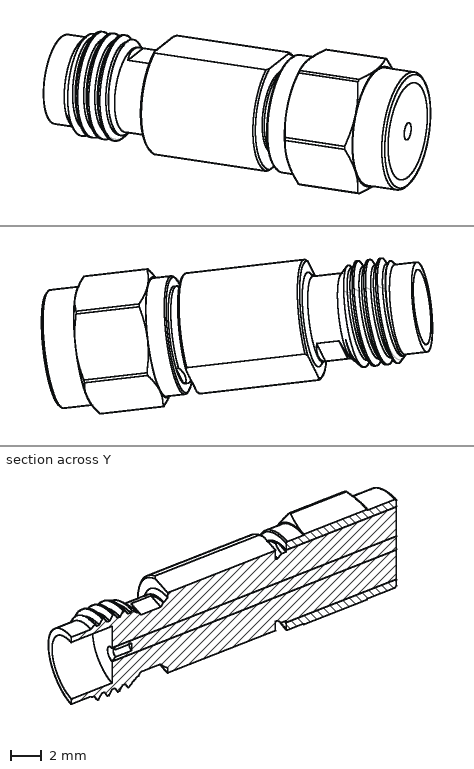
import cadquery as cq
import math


LENGTH = 24.5
MOUTH_RADIUS = 2.95
BORE_RADIUS = 2.45
BORE_DEPTH = 3.06

THREAD_START = 1.47
THREAD_PITCH = 0.78
THREAD_RADIUS = 3.45
THREAD_ROOT_RADIUS = 3.05
CREST_WIDTH = 0.12
FLANK_HALF_ANGLE = 30.0
GROOVE_TURNS = 5
CREST_POSITION = 2.2

NECK_START = 4.97
NECK_END = 6.95
NECK_RADIUS = 2.8
NECK_FLAT_HEIGHT = 2.5
NECK_FLAT_START = 5.25
NECK_FLAT_END = 6.74
NECK_FLAT_RAMP = 0.6

BARREL_START = 7.25
BARREL_END = 15.39
BARREL_RADIUS = 3.95
BARREL_FLAT_HEIGHT = 3.5
BARREL_CHAMFER = 0.12

GROOVE_RADIUS = 2.72
COLLAR_CONE_START = 15.53
COLLAR_RADIUS = 3.18
COLLAR_FLAT_HEIGHT = 3.01

NUT_START = 16.17
NUT_RING_RADIUS = 3.87
NUT_BACK_CHAMFER = 0.1
NUT_FRONT_CHAMFER = 0.15
HEX_START = 17.5
HEX_END = 22.3
HEX_ACROSS_FLATS = 7.9
HEX_ACROSS_CORNERS = 9.0
HEX_CHAMFER_LENGTH = 0.3
HEX_TURN = 30.0

CONTACT_RADIUS = 0.56
CONTACT_HOLE_RADIUS = 0.3
CONTACT_HOLE_DEPTH = 1.47


def revolved(profile):
    """Solid of revolution about X from (x, radius) points, closed along the axis."""
    outline = [(x, -radius) for x, radius in profile]
    points = [(profile[0][0], 0), *outline, (profile[-1][0], 0)]
    return cq.Workplane("XY").polyline(points).close().revolve(360, (0, 0), (1, 0))


def cylinder(start, end, radius):
    return revolved([(start, radius), (end, radius)])


def cut_flats(body, start, end, height, ramp):
    """Cut flats at z = +height and -height; each end spreads by ramp per unit of height."""
    top = 2 * BARREL_RADIUS
    spread = ramp * (top - height)
    cutter = (
        cq.Workplane("XZ")
        .polyline([(start, height), (end, height), (end + spread, top), (start - spread, top)])
        .close()
        .extrude(BARREL_RADIUS, both=True)
    )
    return body.cut(cutter).cut(cutter.mirror("XY"))


def groove_turn(start):
    """One turn of the thread groove: a helical trapezoid whose mid-line leaves +Y at x = start."""
    clearance = 0.05
    flank_slope = math.tan(math.radians(FLANK_HALF_ANGLE))
    mouth_half = (THREAD_PITCH - CREST_WIDTH) / 2
    outer_half = mouth_half + clearance * flank_slope
    root_half = mouth_half - (THREAD_RADIUS - THREAD_ROOT_RADIUS) * flank_slope
    outer_radius = THREAD_RADIUS + clearance
    corners = [
        (THREAD_ROOT_RADIUS, -root_half),
        (outer_radius, -outer_half),
        (outer_radius, outer_half),
        (THREAD_ROOT_RADIUS, root_half),
    ]
    helices = [
        cq.Wire.makeHelix(THREAD_PITCH, THREAD_PITCH, radius, center=(0, 0, offset))
        for radius, offset in corners
    ]
    next_helices = helices[1:] + helices[:1]
    faces = [cq.Face.makeRuledSurface(first, second) for first, second in zip(helices, next_helices)]
    for turn in (0, 1):
        loop = [cq.Vector(radius, 0, offset + turn * THREAD_PITCH) for radius, offset in corners]
        faces.append(cq.Face.makeFromWires(cq.Wire.makePolygon(loop, close=True)))
    turn_solid = cq.Solid.makeSolid(cq.Shell.makeShell(faces))
    return (
        cq.Workplane(obj=turn_solid)
        .rotate((0, 0, 0), (1, 1, 1), 120)
        .translate((start, 0, 0))
    )


def make_jack():
    """Mouth, thread and neck, with the milled neck flats."""
    lead_in = THREAD_RADIUS - MOUTH_RADIUS
    run_out = THREAD_RADIUS - NECK_RADIUS
    shoulder = BARREL_START - NECK_END
    jack = revolved([
        (0, MOUTH_RADIUS),
        (THREAD_START, MOUTH_RADIUS),
        (THREAD_START + lead_in, THREAD_RADIUS),
        (NECK_START - run_out, THREAD_RADIUS),
        (NECK_START, NECK_RADIUS),
        (NECK_END, NECK_RADIUS),
        (BARREL_START, NECK_RADIUS + shoulder),
    ])
    first_groove = CREST_POSITION - 1.5 * THREAD_PITCH
    for turn in range(GROOVE_TURNS):
        jack = jack.cut(groove_turn(first_groove + turn * THREAD_PITCH))
    return cut_flats(jack, NECK_FLAT_START, NECK_FLAT_END, NECK_FLAT_HEIGHT, NECK_FLAT_RAMP)


def make_barrel():
    barrel = cylinder(BARREL_START, BARREL_END, BARREL_RADIUS).edges("%CIRCLE").chamfer(BARREL_CHAMFER)
    return cut_flats(barrel, BARREL_START, BARREL_END, BARREL_FLAT_HEIGHT, 0)


def make_collar():
    """Relief groove, cone and shank that fills the nut."""
    cone_end = COLLAR_CONE_START + COLLAR_RADIUS - GROOVE_RADIUS
    collar = revolved([
        (BARREL_END, GROOVE_RADIUS),
        (COLLAR_CONE_START, GROOVE_RADIUS),
        (cone_end, COLLAR_RADIUS),
        (LENGTH, COLLAR_RADIUS),
    ])
    return cut_flats(collar, BARREL_END, NUT_START, COLLAR_FLAT_HEIGHT, 0)


def make_housing():
    housing = make_jack().union(make_barrel()).union(make_collar())
    housing = housing.cut(cylinder(0, BORE_DEPTH, BORE_RADIUS))
    return housing.cut(cylinder(BORE_DEPTH, LENGTH, CONTACT_RADIUS))


def make_nut():
    """Coupling nut: a round ring with a chamfered hexagon around it."""
    ring = revolved([
        (NUT_START, NUT_RING_RADIUS - NUT_BACK_CHAMFER),
        (NUT_START + NUT_BACK_CHAMFER, NUT_RING_RADIUS),
        (LENGTH - NUT_FRONT_CHAMFER, NUT_RING_RADIUS),
        (LENGTH, NUT_RING_RADIUS - NUT_FRONT_CHAMFER),
    ])
    hexagon = (
        cq.Workplane("YZ", origin=(HEX_START, 0, 0))
        .polygon(6, HEX_ACROSS_FLATS, circumscribed=True)
        .extrude(HEX_END - HEX_START)
        .rotate((0, 0, 0), (1, 0, 0), HEX_TURN)
    )
    flat_radius = HEX_ACROSS_FLATS / 2
    corner_radius = HEX_ACROSS_CORNERS / 2
    hex_envelope = revolved([
        (HEX_START, flat_radius),
        (HEX_START + HEX_CHAMFER_LENGTH, corner_radius),
        (HEX_END - HEX_CHAMFER_LENGTH, corner_radius),
        (HEX_END, flat_radius),
    ])
    nut = ring.union(hexagon.intersect(hex_envelope))
    return nut.cut(cylinder(NUT_START, LENGTH, COLLAR_RADIUS))


def make_contact():
    """Rod through the housing, with a blind socket and a conical mouth as wide as the rod."""
    rod = cylinder(BORE_DEPTH, LENGTH, CONTACT_RADIUS)
    mouth_depth = CONTACT_RADIUS - CONTACT_HOLE_RADIUS
    socket = revolved([
        (BORE_DEPTH, CONTACT_RADIUS),
        (BORE_DEPTH + mouth_depth, CONTACT_HOLE_RADIUS),
        (BORE_DEPTH + CONTACT_HOLE_DEPTH, CONTACT_HOLE_RADIUS),
    ])
    return rod.cut(socket)


housing = make_housing()
nut = make_nut()
contact = make_contact()

result = cq.Compound.makeCompound([housing.val(), nut.val(), contact.val()])